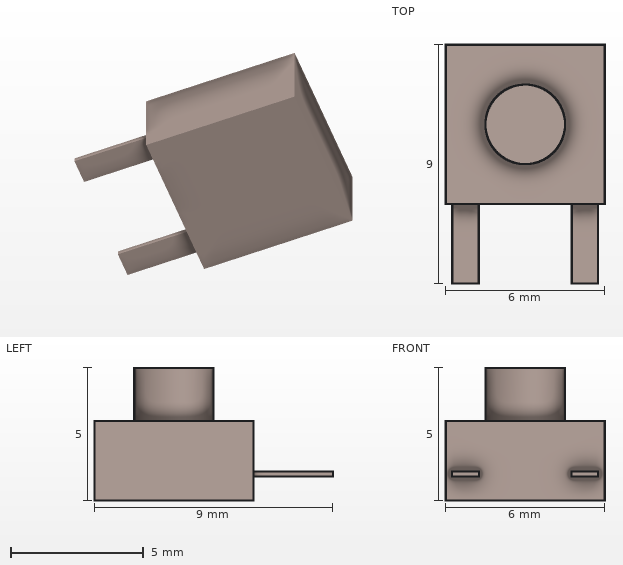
import cadquery as cq

body_side = 6.0
body_height = 3.0

button_diameter = 3.0
button_height = 2.0

pin_width = 1.0
pin_thickness = 0.2
pin_length = 3.0
pin_spacing = 4.5
pin_center_height = 1.0


def make_body():
    return cq.Workplane("XY").box(body_side, body_side, body_height, centered=(True, True, False))


def make_button():
    return (
        cq.Workplane("XY")
        .workplane(offset=body_height)
        .circle(button_diameter / 2)
        .extrude(button_height)
    )


def make_pin(center_x):
    """Flat terminal running from the -Y face of the housing towards -Y."""
    center_y = -(body_side + pin_length) / 2
    return (
        cq.Workplane("XY")
        .box(pin_width, pin_length, pin_thickness)
        .translate((center_x, center_y, pin_center_height))
    )


result = make_body().union(make_button())
for side in (-1, 1):
    result = result.union(make_pin(side * pin_spacing / 2))